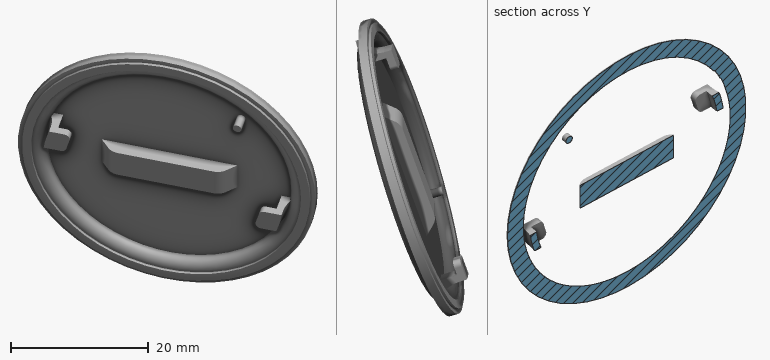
import cadquery as cq
import math

flange_radius = 22.4
flange_front = -1.3
lip_radius = 21.7
lip_front = -1.7
step_radius = 20.35
bowl_radius = 19.95
floor_radius = 18.35
bowl_round = bowl_radius - floor_radius
floor_y = flange_front + bowl_round
dome_radius = 20.3
dome_back = 1.2

grip_half_length = 10.2
grip_width = 4.5
grip_front = -1.85
grip_end_angle = 46.0
grip_edge_round = 2.2

hook_front = -3.6
hook_arm_back = -2.45
hook_tip_radius = 14.8
hook_inner_radius = 17.02
hook_outer_radius = 18.05
hook_foot_radius = 18.85
hook_flare_bulge = 0.2
hook_low_z = 2.25
hook_height = 3.55
hook_corner_round = 0.85

pin_x = 10.8
pin_z = 12.2
pin_radius = 0.65
pin_front = -1.95

pointer_tip_radius = 22.05
pointer_base_radius = 19.7
pointer_half_width = 1.3
pointer_height = 0.55

overlap = 0.2


def revolve_about_y(profile):
    return profile.close().revolve(360, (0, 0, 0), (0, 1, 0))


def make_shell():
    """Flange, stepped front lip and rounded back as one turned profile."""
    diagonal = math.sqrt(0.5)
    dome_flat_radius = dome_radius - dome_back
    dome_mid = (dome_flat_radius + dome_back * diagonal, dome_back * diagonal)
    bowl_mid = (bowl_radius - bowl_round * diagonal, flange_front + bowl_round * (1 - diagonal))
    return revolve_about_y(
        cq.Workplane("XY")
        .moveTo(0, dome_back)
        .lineTo(dome_flat_radius, dome_back)
        .threePointArc(dome_mid, (dome_radius, 0))
        .lineTo(flange_radius, 0)
        .lineTo(flange_radius, flange_front)
        .lineTo(lip_radius, flange_front)
        .lineTo(lip_radius, lip_front)
        .lineTo(step_radius, lip_front)
        .lineTo(step_radius, flange_front)
        .lineTo(bowl_radius, flange_front)
        .threePointArc(bowl_mid, (floor_radius, floor_y))
        .lineTo(0, floor_y)
    )


def make_grip():
    """Bar with sloped ends blending into its flat front face."""
    end_run = (floor_y - grip_front) / math.tan(math.radians(grip_end_angle))
    top_half_length = grip_half_length - end_run
    root = floor_y + overlap
    return (
        cq.Workplane("XY", origin=(0, 0, -grip_width / 2))
        .moveTo(-grip_half_length, root)
        .lineTo(-grip_half_length, floor_y)
        .lineTo(-top_half_length, grip_front)
        .lineTo(top_half_length, grip_front)
        .lineTo(grip_half_length, floor_y)
        .lineTo(grip_half_length, root)
        .close()
        .extrude(grip_width)
        .edges("|Z and <Y")
        .fillet(grip_edge_round)
    )


def make_hook():
    """L-shaped turned ring, cut to a short piece on the -X side."""
    root = floor_y + overlap
    flare_mid = (
        (hook_outer_radius + hook_foot_radius) / 2 - hook_flare_bulge,
        (hook_arm_back + floor_y) / 2,
    )
    ring = revolve_about_y(
        cq.Workplane("XY")
        .moveTo(hook_tip_radius, hook_front)
        .lineTo(hook_outer_radius, hook_front)
        .lineTo(hook_outer_radius, hook_arm_back)
        .threePointArc(flare_mid, (hook_foot_radius, floor_y))
        .lineTo(hook_foot_radius, root)
        .lineTo(hook_inner_radius, root)
        .lineTo(hook_inner_radius, hook_arm_back)
        .lineTo(hook_tip_radius, hook_arm_back)
    )
    piece = (
        cq.Workplane("XY")
        .box(flange_radius, flange_radius, hook_height, centered=(False, True, False))
        .translate((-flange_radius, 0, hook_low_z))
    )
    tip_zone = cq.selectors.BoxSelector(
        (-hook_tip_radius - overlap, hook_front - overlap, 0),
        (0, floor_y, hook_low_z + hook_height + overlap),
    )
    return ring.intersect(piece).edges("|Y").edges(tip_zone).fillet(hook_corner_round)


def make_pin():
    return (
        cq.Workplane("XZ", origin=(pin_x, floor_y + overlap, pin_z))
        .circle(pin_radius)
        .extrude(floor_y + overlap - pin_front)
    )


def make_pointer():
    """Small triangular mark pointing toward -X."""
    return (
        cq.Workplane("XZ", origin=(0, pointer_height, 0))
        .moveTo(-pointer_tip_radius, 0)
        .lineTo(-pointer_base_radius, pointer_half_width)
        .lineTo(-pointer_base_radius, -pointer_half_width)
        .close()
        .extrude(pointer_height + overlap)
    )


result = make_shell().union(make_grip()).union(make_pin()).union(make_pointer())
hook = make_hook()
for turn in (0, 180):
    result = result.union(hook.rotate((0, 0, 0), (0, 1, 0), turn))